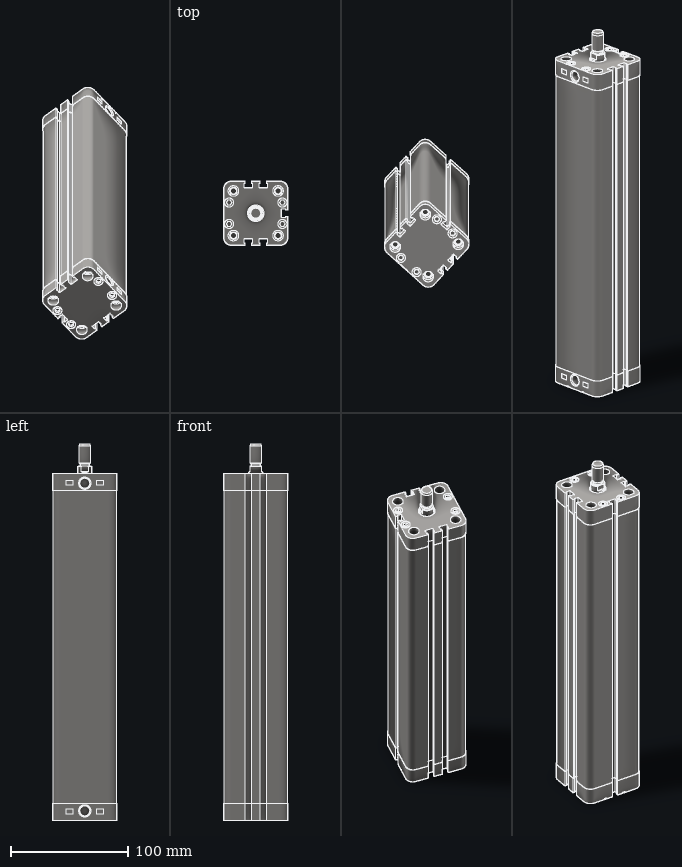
import cadquery as cq

cap_side = 54.8
cap_length = 14.5
body_length = 295.8
total_length = 321.0
barrel_length = body_length - 2 * cap_length
barrel_top = body_length - cap_length

cap_corner_radius = 6.6
barrel_side = 54.4
barrel_corner_radius = 6.8

slot_opening = 5.2
slot_inner_width = 7.0
slot_depth = 5.6
slot_lip = 2.0
paired_slot_offset = 6.4

mount_spacing = 38.0
mount_recess_diameter = 9.0
mount_recess_depth = 10.0
mount_hole_diameter = 5.2
mount_countersink_diameter = 6.4
mount_countersink_depth = (mount_countersink_diameter - mount_hole_diameter) / 2

side_recess_x = 22.7
side_recess_y = 9.1
side_recess_diameter = 7.7
side_recess_depth = 0.4
socket_across_flats = 4.0
socket_depth = 3.0

port_diameter = 8.57
port_mouth_diameter = 10.4
port_mouth_chamfer = (port_mouth_diameter - port_diameter) / 2
port_end_distance = 8.4
port_floor_diameter = 40.0

label_spacing = 26.0
label_width = 6.0
label_height = 4.0
label_depth = 0.2
label_end_distance = 7.9

rod_diameter = 12.0
rod_chamfer = 0.5
bearing_recess_diameter = 14.0
bearing_recess_depth = 2.0
flat_width = 10.0
flat_length = 4.6
thread_diameter = 10.0
thread_length = 16.3
neck_diameter = 7.7
neck_length = 1.6
thread_tip_diameter = 8.57
thread_tip_length = 2.0
thread_run_out = 1.1
shoulder_top = total_length - thread_length - thread_run_out - neck_length


def slot_cutter(length):
    """A T-slot centred on X = 0 and open at the +Y side of the caps."""
    outer = cap_side / 2
    floor = outer - slot_depth
    inner_height = slot_depth - slot_lip
    mouth = cq.Workplane("XY").rect(slot_opening, 2 * slot_depth).extrude(length).translate((0, outer, 0))
    inner = (
        cq.Workplane("XY").rect(slot_inner_width, inner_height).extrude(length)
        .translate((0, floor + inner_height / 2, 0))
    )
    return mouth.union(inner)


def slotted_block(side, corner_radius, length):
    """The square section with its two slots on each Y side and one on the +X side."""
    block = cq.Workplane("XY").rect(side, side).extrude(length).edges("|Z").fillet(corner_radius)
    slot = slot_cutter(length)
    for x in (-paired_slot_offset, paired_slot_offset):
        paired_slot = slot.translate((x, 0, 0))
        block = block.cut(paired_slot).cut(paired_slot.mirror("XZ"))
    single_slot = slot.rotate((0, 0, 0), (0, 0, 1), -90)
    return block.cut(single_slot)


def port_cutter(z):
    """A port along X that ends on a cylinder about the main axis."""
    face = cq.Workplane("YZ", origin=(-cap_side / 2, 0, z))
    bore = face.circle(port_diameter / 2).extrude(cap_side / 2)
    mouth = (
        face.circle(port_mouth_diameter / 2)
        .workplane(offset=port_mouth_chamfer).circle(port_diameter / 2).loft()
    )
    core = cq.Workplane("XY").circle(port_floor_diameter / 2).extrude(cap_length)
    return bore.cut(core).union(mouth)


def make_end_cap():
    """An end cap with its joint face at Z = 0 and its outer face up."""
    cap = slotted_block(cap_side, cap_corner_radius, cap_length)
    end_face = cq.Workplane("XY", origin=(0, 0, cap_length))
    mounts = end_face.rect(mount_spacing, mount_spacing, forConstruction=True).vertices()
    cap = cap.cut(mounts.circle(mount_recess_diameter / 2).extrude(-mount_recess_depth))
    cap = cap.cut(mounts.circle(mount_hole_diameter / 2).extrude(-cap_length))
    countersink = cq.Workplane("XY").add(
        cq.Solid.makeCone(
            mount_countersink_diameter / 2,
            mount_hole_diameter / 2,
            mount_countersink_depth,
            pnt=cq.Vector(0, 0, -mount_recess_depth),
            dir=cq.Vector(0, 0, -1),
        )
    )
    for corner in mounts.vals():
        cap = cap.cut(countersink.translate(corner.toTuple()))
    sides = end_face.rect(2 * side_recess_x, 2 * side_recess_y, forConstruction=True).vertices()
    cap = cap.cut(sides.circle(side_recess_diameter / 2).extrude(-side_recess_depth))
    socket = (
        cq.Workplane("XY").polygon(6, socket_across_flats, circumscribed=True).extrude(-socket_depth)
        .rotate((0, 0, 0), (0, 0, 1), 30)
    )
    for corner in sides.vals():
        cap = cap.cut(socket.translate(corner.toTuple()))
    labels = (
        cq.Workplane("YZ", origin=(-cap_side / 2, 0, cap_length - label_end_distance))
        .pushPoints([(-label_spacing / 2, 0), (label_spacing / 2, 0)])
        .rect(label_width, label_height).extrude(label_depth)
    )
    return cap.cut(labels).cut(port_cutter(cap_length - port_end_distance))


def make_front_cap():
    """The top end cap, bored for the rod."""
    recess = (
        cq.Workplane("XY", origin=(0, 0, cap_length))
        .circle(bearing_recess_diameter / 2).extrude(-bearing_recess_depth)
    )
    rod_bore = cq.Workplane("XY").circle(rod_diameter / 2).extrude(cap_length)
    return make_end_cap().cut(recess).cut(rod_bore).translate((0, 0, barrel_top))


def make_rear_cap():
    """The bottom end cap, facing down."""
    return make_end_cap().mirror("XY").translate((0, 0, cap_length))


def make_barrel():
    barrel = slotted_block(barrel_side, barrel_corner_radius, barrel_length)
    return barrel.translate((0, 0, cap_length))


def make_rod():
    """The rod with its necked thread and two wrench flats."""
    rod_radius = rod_diameter / 2
    thread_radius = thread_diameter / 2
    neck_radius = neck_diameter / 2
    neck_top = shoulder_top + neck_length
    rod = (
        cq.Workplane("XZ")
        .moveTo(0, barrel_top)
        .lineTo(rod_radius, barrel_top)
        .lineTo(rod_radius, shoulder_top - rod_chamfer)
        .lineTo(rod_radius - rod_chamfer, shoulder_top)
        .lineTo(neck_radius, shoulder_top)
        .lineTo(neck_radius, neck_top)
        .lineTo(thread_radius, neck_top + thread_run_out)
        .lineTo(thread_radius, total_length - thread_tip_length)
        .lineTo(thread_tip_diameter / 2, total_length)
        .lineTo(0, total_length)
        .close()
        .revolve(360, (0, 0, 0), (0, 1, 0))
    )
    flat_bottom = shoulder_top - flat_length
    flat_x = flat_width / 2
    run_out_bottom = flat_bottom - (rod_radius - flat_x)
    flat = (
        cq.Workplane("XZ", origin=(0, rod_radius, 0))
        .moveTo(flat_x, shoulder_top)
        .lineTo(flat_x, flat_bottom)
        .lineTo(rod_radius, run_out_bottom)
        .lineTo(rod_radius, shoulder_top)
        .close()
        .extrude(rod_diameter)
    )
    rod = rod.cut(flat).cut(flat.mirror("YZ"))
    return rod


barrel = make_barrel()
front_cap = make_front_cap()
rear_cap = make_rear_cap()
piston_rod = make_rod()

result = cq.Compound.makeCompound([barrel.val(), front_cap.val(), rear_cap.val(), piston_rod.val()])